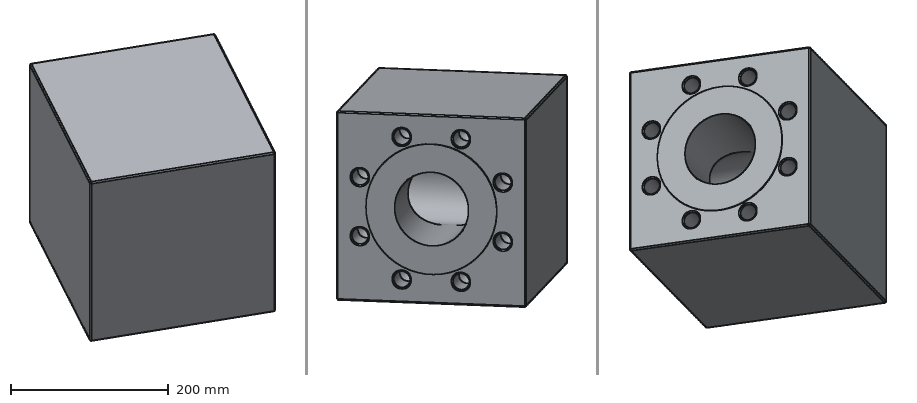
import cadquery as cq
import math

length = 280.0
side = 245.0
edge_chamfer = 2.0

bore_diameter = 95.5

seal_face_diameter = 168.8
seal_face_depth = 2.0
seal_corner_radius = 0.42

bolt_count = 8
bolt_circle_diameter = 200.0
bolt_diameter = 21.0
bolt_mouth_diameter = 24.5
bolt_depth = 42.0
drill_point_angle = 118.0

bore_radius = bore_diameter / 2
inlet_x = -length / 2
outlet_y = side / 2


def inlet_plane():
    """Workplane on the inlet face, facing into the block."""
    return cq.Workplane(cq.Plane(origin=(inlet_x, 0, 0), xDir=(0, 1, 0), normal=(1, 0, 0)))


def make_block():
    return cq.Workplane("XY").box(length, side, side).edges().chamfer(edge_chamfer)


def make_elbow_bore():
    """Two equal bores; the outlet bore runs back just far enough to meet the whole inlet bore."""
    inlet = inlet_plane().circle(bore_radius).extrude(length / 2)
    outlet = (
        cq.Workplane("XZ", origin=(0, outlet_y, 0))
        .circle(bore_radius)
        .extrude(outlet_y + bore_radius)
    )
    return inlet.union(outlet)


def make_seal_face():
    """Flat round recess with a slightly rounded floor corner."""
    recess = inlet_plane().circle(seal_face_diameter / 2).extrude(seal_face_depth)
    return recess.edges(">X").fillet(seal_corner_radius)


def make_bolt_hole():
    """Drilled hole with a 45 degree countersunk mouth and a conical bottom, starting at the origin along +X."""
    radius = bolt_diameter / 2
    mouth_radius = bolt_mouth_diameter / 2
    mouth_depth = mouth_radius - radius
    point_depth = radius / math.tan(math.radians(drill_point_angle / 2))
    profile = [
        (0, 0),
        (0, mouth_radius),
        (mouth_depth, radius),
        (bolt_depth, radius),
        (bolt_depth + point_depth, 0),
    ]
    return cq.Workplane("XY").polyline(profile).close().revolve(360, (0, 0), (1, 0))


def make_bolt_holes():
    """Bolt holes on their circle, placed astride the Y and Z axes."""
    bolt_pitch = 360 / bolt_count
    first_hole = make_bolt_hole().translate((inlet_x, 0, bolt_circle_diameter / 2))
    holes = cq.Workplane("XY")
    for index in range(bolt_count):
        angle = (index + 0.5) * bolt_pitch
        holes = holes.add(first_hole.rotate((0, 0, 0), (1, 0, 0), angle))
    return holes.combine()


result = make_block().cut(make_elbow_bore()).cut(make_seal_face()).cut(make_bolt_holes())